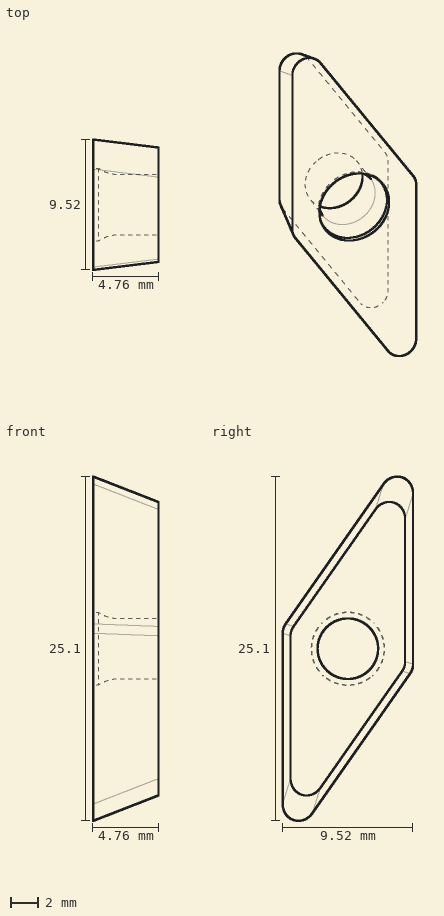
import cadquery as cq
import math

inscribed_diameter = 9.52
thickness = 4.76
nose_angle = 35.0
relief_angle = 7.0
corner_radius = 1.2

bore_diameter = 4.4
mouth_diameter = 5.35
mouth_depth = 0.4
seat_diameter = 5.28
seat_arc_length = 1.4


def rhombus_corners():
    """Sharp corners in (Y, Z) of the rake face, a rhombus with two sides parallel to Z."""
    half_width = inscribed_diameter / 2
    side = inscribed_diameter / math.sin(math.radians(nose_angle))
    sharp_z = half_width / math.tan(math.radians(nose_angle / 2))
    blunt_z = sharp_z - side
    return [
        (half_width, sharp_z),
        (half_width, blunt_z),
        (-half_width, -sharp_z),
        (-half_width, -blunt_z),
    ]


def make_body():
    """Rhombic plate narrowing toward +X by the relief angle, its four flank edges rounded."""
    plate = (
        cq.Workplane("YZ")
        .polyline(rhombus_corners())
        .close()
        .extrude(thickness, taper=relief_angle)
    )
    flank_edges = plate.edges("not #X")
    return flank_edges.fillet(corner_radius)


def make_screw_hole():
    """Through bore, a bulging screw seat tangent to it, and a short, slightly tapered mouth at X = 0."""
    bore_radius = bore_diameter / 2
    mouth_radius = mouth_diameter / 2
    seat_start_radius = seat_diameter / 2
    seat_end = mouth_depth + seat_arc_length
    seat_drop = seat_start_radius - bore_radius
    seat_arc_radius = (seat_arc_length**2 + seat_drop**2) / (2 * seat_drop)
    half_sweep = math.asin(seat_arc_length / seat_arc_radius) / 2
    seat_middle = (
        seat_end - seat_arc_radius * math.sin(half_sweep),
        -(bore_radius + seat_arc_radius * (1 - math.cos(half_sweep))),
    )
    return (
        cq.Workplane("XZ")
        .lineTo(0, -mouth_radius)
        .lineTo(mouth_depth, -seat_start_radius)
        .threePointArc(seat_middle, (seat_end, -bore_radius))
        .lineTo(thickness, -bore_radius)
        .lineTo(thickness, 0)
        .close()
        .revolve(360, (0, 0, 0), (1, 0, 0))
    )


result = make_body().cut(make_screw_hole())